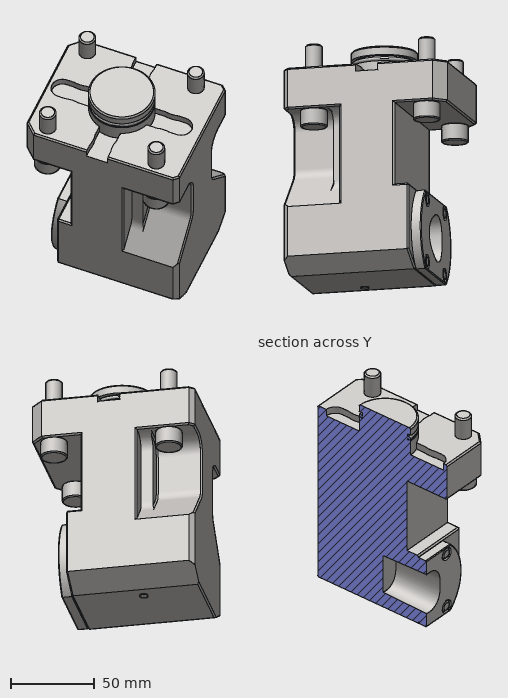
import cadquery as cq
import math

WIDTH = 78.0
HALF_WIDTH = WIDTH / 2
X_LEFT = -48.0
X_RIGHT = 52.0
EDGE_CHAMFER = 1.0
RIGHT_CORNER_CHAMFER = 3.0

FLANGE_TOP = 124.3
FLANGE_BOTTOM = 99.2
LEFT_CORNER_CHAMFER = 7.1

NECK_X = -17.2
HOUSING_X = -26.0
LEDGE_Z = 49.3
SPINDLE_Z = 24.0
BEVEL_HALF_WIDTH = 23.6
BEVEL_ANGLE = 30

POCKET_X = 17.0
POCKET_FLOOR_Z = 39.3
POCKET_FILLET = 9.0
POCKET_WALL_Y = 15.3
RIB_X = 24.3
RIB_WALL_Y = 25.7

PILOT_TOP = 139.0
PILOT_DIAMETER = 39.9
PILOT_GROOVE_DIAMETER = 35.2
PILOT_GROOVE_TOP = 133.5
PILOT_GROOVE_BOTTOM = 129.8
SEAL_SECTION_DIAMETER = 2.5
SEAL_Z = 131.1

SLOT_WIDTH = 13.5
SLOT_DEPTH = 4.6
SLOT_REACH = 45.0
WAIST_CENTRE = 29.6
WAIST_HALF_LENGTH = 4.2
WAIST_BULGE = 0.49

BOLT_DIAMETER = 10.0
BOLT_HEAD_DIAMETER = 16.0
BOLT_X = 35.0
BOLT_Y = HALF_WIDTH - BOLT_HEAD_DIAMETER / 2
BOLT_HEAD_HEIGHT = 10.3
BOLT_TIP_CHAMFER = 1.0
BOLT_HEAD_CHAMFER = 0.7
BOLT_SEAT_CHAMFER = 0.4

PLATE_X = -32.1
PLATE_DIAMETER = 66.1
PLATE_CHAMFER = 0.5
BORE_RADIUS = 14.0
BORE_LOBE = 1.1
BORE_DEPTH = 33.5
BORE_TAPER = 0.8

SCREW_OFFSET = 19.0
SCREW_RECESS_DIAMETER = 8.4
SCREW_RECESS_DEPTH = 1.7
SCREW_HEAD_DIAMETER = 7.3
SCREW_TOP_DIAMETER = 5.2

PLUG_X = 16.5
PLUG_Y = -15.3
PLUG_DIAMETER = 5.2
PLUG_HEIGHT = 0.5


def block(x_min, x_max, z_min, z_max):
    """Full-width box between two X and two Z positions."""
    return cq.Workplane("XY").box(x_max - x_min, WIDTH, z_max - z_min).translate(
        ((x_min + x_max) / 2, 0, (z_min + z_max) / 2)
    )


def slot_arm(length, rounded_end):
    """Slot along +X from the pilot axis, with a slight waist part way out."""
    half = SLOT_WIDTH / 2
    waist_in = WAIST_CENTRE - WAIST_HALF_LENGTH
    waist_out = WAIST_CENTRE + WAIST_HALF_LENGTH
    end = length - half if rounded_end else length
    arm = cq.Workplane("XY").moveTo(0, half).lineTo(waist_in, half)
    arm = arm.threePointArc((WAIST_CENTRE, half - WAIST_BULGE), (waist_out, half)).lineTo(end, half)
    if rounded_end:
        arm = arm.threePointArc((length, 0), (end, -half))
    else:
        arm = arm.lineTo(end, -half)
    arm = arm.lineTo(waist_out, -half).threePointArc((WAIST_CENTRE, WAIST_BULGE - half), (waist_in, -half))
    arm = arm.lineTo(0, -half).close().extrude(SLOT_DEPTH)
    return arm.translate((0, 0, FLANGE_TOP - SLOT_DEPTH))


def make_flange():
    flange = block(X_LEFT, X_RIGHT, FLANGE_BOTTOM, FLANGE_TOP)
    flange = flange.edges("|Z and <X").chamfer(LEFT_CORNER_CHAMFER)
    flange = flange.edges("|Z and >X").chamfer(RIGHT_CORNER_CHAMFER)
    return flange.faces(">Z").chamfer(EDGE_CHAMFER)


def cut_slots(body):
    for angle in (0, 90, 180, 270):
        along_x = angle % 180 == 0
        arm = slot_arm(SLOT_REACH if along_x else HALF_WIDTH, along_x)
        body = body.cut(arm.rotate((0, 0, 0), (0, 0, 1), angle))
    return body


def pocket(x_start, wall_y):
    """Relief on the -Y side: a 45 degree floor that meets an upright wall at wall_y."""
    floor_rise = HALF_WIDTH - wall_y
    outline = [
        (-HALF_WIDTH, POCKET_FLOOR_Z),
        (-wall_y, POCKET_FLOOR_Z + floor_rise),
        (-wall_y, FLANGE_BOTTOM),
        (-HALF_WIDTH, FLANGE_BOTTOM),
    ]
    relief = cq.Workplane("YZ", origin=(x_start, 0, 0)).polyline(outline).close().extrude(X_RIGHT - x_start)
    return relief.edges("|X and >Y").fillet(POCKET_FILLET)


def make_housing():
    bevel_height = (HALF_WIDTH - BEVEL_HALF_WIDTH) * math.tan(math.radians(BEVEL_ANGLE))
    housing = block(HOUSING_X, X_RIGHT, 0, FLANGE_BOTTOM)
    housing = housing.edges("|X and <Z").chamfer(bevel_height, HALF_WIDTH - BEVEL_HALF_WIDTH)
    housing = housing.edges("|Z and >X").chamfer(RIGHT_CORNER_CHAMFER)
    housing = housing.faces(">X").edges("<Z").chamfer(EDGE_CHAMFER)
    housing = housing.cut(block(HOUSING_X, NECK_X, LEDGE_Z, FLANGE_BOTTOM))
    rib_relief = pocket(POCKET_X, RIB_WALL_Y)
    deep_relief = pocket(RIB_X, POCKET_WALL_Y).faces("<X").edges(">Y").chamfer(EDGE_CHAMFER)
    relief = rib_relief.union(deep_relief)
    return housing.cut(relief).cut(relief.mirror("XZ"))


def edges_within(x_range, y_range, z_range):
    """Selector for edges whose middle lies in the given ranges, with a little slack."""
    low, high = zip(x_range, y_range, z_range)
    slack = 0.01
    return cq.selectors.BoxSelector([v - slack for v in low], [v + slack for v in high])


def break_edges(body):
    """Chamfer the outer edges around the notch, the pockets and the flange underside."""
    under_flange = (FLANGE_BOTTOM, FLANGE_BOTTOM)
    full_y = (-HALF_WIDTH, HALF_WIDTH)
    flange_left = (X_LEFT, X_LEFT + LEFT_CORNER_CHAMFER)
    flange_right = (X_RIGHT - RIGHT_CORNER_CHAMFER, X_RIGHT)
    rim = edges_within(flange_left, full_y, under_flange)
    rim += edges_within(flange_right, full_y, under_flange)
    rim += edges_within((HOUSING_X, HOUSING_X), full_y, (0, LEDGE_Z))
    for y in full_y:
        side = (y, y)
        rim += edges_within((X_LEFT, NECK_X), side, under_flange)
        rim += edges_within((HOUSING_X, NECK_X), side, (LEDGE_Z, FLANGE_BOTTOM))
        rim += edges_within((POCKET_X, X_RIGHT), side, under_flange)
        rim += edges_within((POCKET_X, POCKET_X), side, (LEDGE_Z, FLANGE_BOTTOM))
    pocket_height = (POCKET_FLOOR_Z + EDGE_CHAMFER, FLANGE_BOTTOM - EDGE_CHAMFER)
    rim += edges_within((X_RIGHT, X_RIGHT), full_y, pocket_height)
    return body.edges(rim).chamfer(EDGE_CHAMFER)


def make_pilot():
    pilot = (
        cq.Workplane("XY", origin=(0, 0, FLANGE_BOTTOM))
        .circle(PILOT_DIAMETER / 2)
        .extrude(PILOT_TOP - FLANGE_BOTTOM)
        .faces(">Z")
        .chamfer(EDGE_CHAMFER)
    )
    groove = (
        cq.Workplane("XY", origin=(0, 0, PILOT_GROOVE_BOTTOM))
        .circle(PILOT_DIAMETER / 2)
        .circle(PILOT_GROOVE_DIAMETER / 2)
        .extrude(PILOT_GROOVE_TOP - PILOT_GROOVE_BOTTOM)
    )
    seal_sink = 0.1
    seal_radius = SEAL_SECTION_DIAMETER / 2
    seal_centre = PILOT_GROOVE_DIAMETER / 2 + seal_radius - seal_sink
    seal = cq.Workplane("XZ").center(seal_centre, SEAL_Z).circle(seal_radius)
    seal = seal.revolve(360, (-seal_centre, 0, 0), (-seal_centre, 1, 0))
    return pilot.cut(groove).union(seal)


def make_bolt():
    shank = cq.Workplane("XY", origin=(0, 0, FLANGE_BOTTOM)).circle(BOLT_DIAMETER / 2)
    shank = shank.extrude(PILOT_TOP - FLANGE_BOTTOM).faces(">Z").chamfer(BOLT_TIP_CHAMFER)
    head = cq.Workplane("XY", origin=(0, 0, FLANGE_BOTTOM)).circle(BOLT_HEAD_DIAMETER / 2)
    head = head.extrude(-BOLT_HEAD_HEIGHT).faces("<Z").chamfer(BOLT_HEAD_CHAMFER)
    head = head.faces(">Z").chamfer(BOLT_SEAT_CHAMFER)
    return shank.union(head)


def make_plate():
    """Disc trimmed flat at the underside and at the matching height above the spindle axis."""
    plate = cq.Workplane("YZ", origin=(PLATE_X, 0, SPINDLE_Z)).circle(PLATE_DIAMETER / 2)
    plate = plate.extrude(HOUSING_X - PLATE_X)
    plate = plate.intersect(block(PLATE_X, HOUSING_X, 0, 2 * SPINDLE_Z))
    return plate.faces("<X").chamfer(PLATE_CHAMFER)


def bore_section(base_radius):
    """Closed three-lobed curve with one lobe toward +Y."""
    def point(turn):
        angle = 2 * math.pi * turn
        radius = base_radius + BORE_LOBE * math.cos(3 * angle)
        return radius * math.cos(angle), radius * math.sin(angle)

    return point


def make_bore():
    bore = cq.Workplane("YZ", origin=(PLATE_X, 0, SPINDLE_Z)).parametricCurve(bore_section(BORE_RADIUS))
    bore = bore.workplane(offset=BORE_DEPTH).parametricCurve(bore_section(BORE_RADIUS - BORE_TAPER))
    return bore.loft(ruled=True)


def make_screw_head():
    """Screw head with a bevelled top, seated flush in its recess."""
    bevel = (SCREW_HEAD_DIAMETER - SCREW_TOP_DIAMETER) / 2
    head = cq.Workplane("YZ", origin=(PLATE_X, 0, SPINDLE_Z)).circle(SCREW_HEAD_DIAMETER / 2)
    return head.extrude(SCREW_RECESS_DEPTH).faces("<X").chamfer(bevel)


body = break_edges(make_flange().union(make_housing()))
body = cut_slots(body).union(make_pilot())

bolt = make_bolt()
for x in (-BOLT_X, BOLT_X):
    for y in (-BOLT_Y, BOLT_Y):
        body = body.union(bolt.translate((x, y, 0)))

body = body.union(make_plate()).cut(make_bore())

recess = cq.Workplane("YZ", origin=(PLATE_X, 0, SPINDLE_Z)).circle(SCREW_RECESS_DIAMETER / 2)
recess = recess.extrude(SCREW_RECESS_DEPTH)
screw_head = make_screw_head()
for y in (-SCREW_OFFSET, SCREW_OFFSET):
    for z in (-SCREW_OFFSET, SCREW_OFFSET):
        body = body.cut(recess.translate((0, y, z))).union(screw_head.translate((0, y, z)))

plug = cq.Workplane("XY", origin=(PLUG_X, PLUG_Y, 0)).circle(PLUG_DIAMETER / 2).extrude(-PLUG_HEIGHT)
result = body.union(plug)